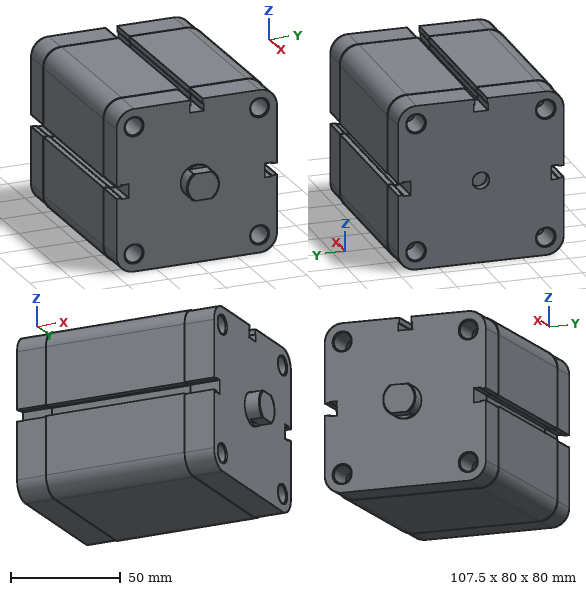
import cadquery as cq

total_length = 107.5
rod_projection = 7.5
cover_length = 14.8
barrel_length = total_length - rod_projection - 2 * cover_length
barrel_end = cover_length + barrel_length

barrel_width = 80.0
corner_radius = 9.0
cover_inset = 0.3

grooved_sides = (0, 90, -90)
groove_mouth_width = 5.2
groove_floor_width = 6.1
groove_lip_depth = 2.9
groove_depth = 6.0

bolt_spacing = 62.0
bolt_hole_diameter = 8.5
bolt_chamfer = 0.5

locating_diameter = 8.0
locating_depth = 4.0

rod_diameter = 16.0
rod_tip_chamfer = 0.4
flats_width = 13.1
flats_length = 6.3


def bar(length, start, inset):
    """Rounded square bar along X, with its four sides set back by the inset."""
    width = barrel_width - 2 * inset
    return (
        cq.Workplane("YZ", origin=(start, 0, 0))
        .rect(width, width)
        .extrude(length)
        .edges("|X")
        .fillet(corner_radius - inset)
    )


def groove(length, start, inset):
    """Cutter for the groove in the +Z side, its walls and floor set back by the inset."""
    top = barrel_width / 2
    lip = top - groove_lip_depth
    floor = top - groove_depth - inset
    half_mouth = groove_mouth_width / 2 + inset
    half_floor = groove_floor_width / 2 + inset
    return (
        cq.Workplane("YZ", origin=(start, 0, 0))
        .moveTo(-half_mouth, top)
        .lineTo(-half_mouth, lip)
        .lineTo(-half_floor, lip)
        .lineTo(-half_floor, floor)
        .lineTo(half_floor, floor)
        .lineTo(half_floor, lip)
        .lineTo(half_mouth, lip)
        .lineTo(half_mouth, top)
        .close()
        .extrude(length)
    )


def bolt_holes(length, start):
    """Cutter for the four corner holes."""
    return (
        cq.Workplane("YZ", origin=(start, 0, 0))
        .rect(bolt_spacing, bolt_spacing, forConstruction=True)
        .vertices()
        .circle(bolt_hole_diameter / 2)
        .extrude(length)
    )


def profile_section(length, start, inset):
    """Length of the grooved profile with its corner holes."""
    section = bar(length, start, inset)
    cutter = groove(length, start, inset)
    for turn in grooved_sides:
        section = section.cut(cutter.rotate((0, 0, 0), (1, 0, 0), turn))
    return section.cut(bolt_holes(length, start))


def cover(start, outer_side):
    """End cover with its bolt holes chamfered on the outer side ("<X" or ">X")."""
    plate = profile_section(cover_length, start, cover_inset)
    hole_edges = plate.faces(outer_side).edges("%CIRCLE").edges(
        cq.selectors.RadiusNthSelector(0)
    )
    return hole_edges.chamfer(bolt_chamfer)


def make_barrel():
    return profile_section(barrel_length, cover_length, 0)


def make_rear_cover():
    locating_hole = (
        cq.Workplane("YZ").circle(locating_diameter / 2).extrude(locating_depth)
    )
    return cover(0, "<X").cut(locating_hole)


def make_front_cover():
    rod_bore = (
        cq.Workplane("YZ", origin=(barrel_end, 0, 0))
        .circle(rod_diameter / 2)
        .extrude(cover_length)
    )
    return cover(barrel_end, ">X").cut(rod_bore)


def make_piston_rod():
    rod = (
        cq.Workplane("YZ", origin=(barrel_end, 0, 0))
        .circle(rod_diameter / 2)
        .extrude(total_length - barrel_end)
        .faces(">X")
        .chamfer(rod_tip_chamfer)
    )
    flats_start = total_length - flats_length
    tip = cq.Workplane("YZ", origin=(flats_start, 0, 0))
    flats_cutter = (
        tip.rect(rod_diameter, 2 * rod_diameter)
        .rect(rod_diameter, flats_width)
        .extrude(flats_length)
    )
    return rod.cut(flats_cutter)


barrel = make_barrel()
rear_cover = make_rear_cover()
front_cover = make_front_cover()
piston_rod = make_piston_rod()

result = cq.Compound.makeCompound(
    [barrel.val(), rear_cover.val(), front_cover.val(), piston_rod.val()]
)